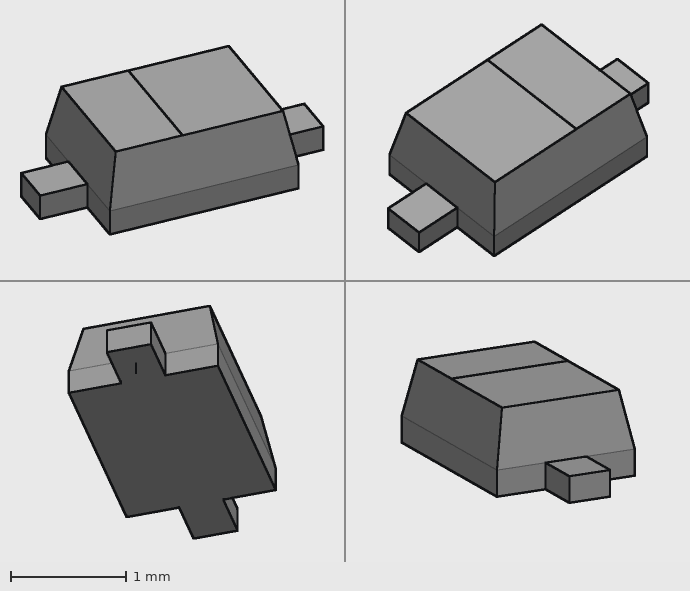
import cadquery as cq

overall_length = 2.7
body_width = 1.35
overall_height = 0.87

body_length = 1.8
pin_length = 0.1
body_height = overall_height - pin_length
base_height = 0.243
cap_inset = 0.103
top_width = body_width - 2 * cap_inset
top_length = body_length - 2 * cap_inset

band_length = 0.637
band_thickness = 0.0014

lead_width = 0.4
lead_thickness = base_height

pin_side = 0.0014
pin_y = -(overall_length + body_length) / 4


def make_body():
    """Base and cap, leaving room for the band within the body height."""
    cap_height = body_height - band_thickness - base_height
    base = cq.Workplane("XY").rect(body_width, body_length).extrude(base_height)
    cap = (
        base.faces(">Z")
        .workplane()
        .rect(body_width, body_length)
        .workplane(offset=cap_height)
        .rect(top_width, top_length)
        .loft(ruled=True, combine=False)
    )
    return base.union(cap)


def make_band():
    """Film from the front edge of the top face towards the middle."""
    band_y = (band_length - top_length) / 2
    return (
        cq.Workplane("XY")
        .workplane(offset=body_height - band_thickness)
        .center(0, band_y)
        .rect(top_width, band_length)
        .extrude(band_thickness)
    )


def make_leads():
    """One strip through the body forms both leads."""
    return cq.Workplane("XY").rect(lead_width, overall_length).extrude(lead_thickness)


def make_pin():
    """Square pin pointing straight down from the lead."""
    return cq.Workplane("XY").center(0, pin_y).rect(pin_side, pin_side).extrude(-pin_length)


result = make_body().union(make_band()).union(make_leads()).union(make_pin())